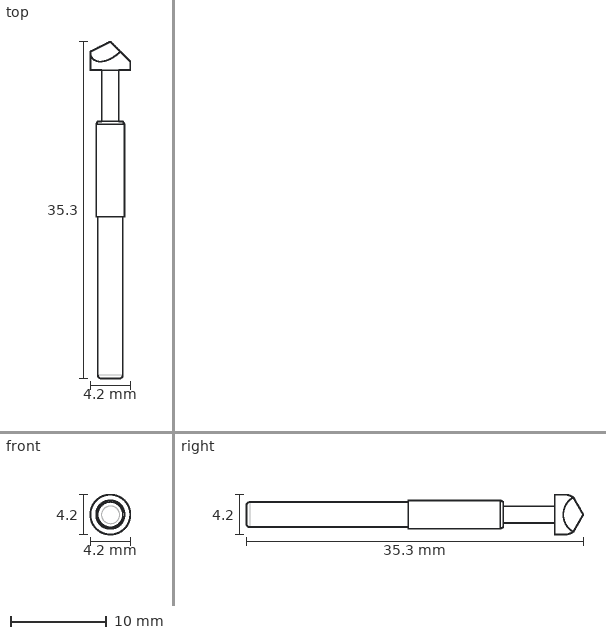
import cadquery as cq
import math


tail_diameter = 2.65
tail_length = 16.95
tail_end_radius = 0.4

barrel_diameter = 3.0
barrel_length = 10.0
barrel_chamfer_length = 0.32
barrel_chamfer_depth = 0.18

stem_diameter = 1.8
stem_length = 5.35
head_diameter = 4.2
head_length = 3.0

tip_face_count = 3
tip_face_angle = 45.0

barrel_end = barrel_length
head_base = barrel_end + stem_length
tip = head_base + head_length


def cylinder_along_y(diameter, start, length):
    """Round bar centred on the Y axis, running from Y = start toward +Y."""
    base = cq.Workplane("XZ", origin=(0, start, 0))
    return base.circle(diameter / 2).extrude(-length)


def make_tail():
    tail = cylinder_along_y(tail_diameter, -tail_length, tail_length)
    return tail.faces("<Y").edges().fillet(tail_end_radius)


def make_barrel():
    radius = barrel_diameter / 2
    half_profile = (
        cq.Workplane("XY")
        .lineTo(radius, 0)
        .lineTo(radius, barrel_end - barrel_chamfer_length)
        .lineTo(radius - barrel_chamfer_depth, barrel_end)
        .lineTo(0, barrel_end)
        .close()
    )
    return half_profile.revolve(360, (0, 0, 0), (0, 1, 0))


def make_head():
    """Disc cut by sloped planes that meet at a point on the axis; the first plane faces +X."""
    head = cylinder_along_y(head_diameter, head_base, head_length)
    reach = head_diameter
    drop = reach / math.tan(math.radians(tip_face_angle))
    for index in range(tip_face_count):
        waste = (
            cq.Workplane("XY")
            .moveTo(0, tip)
            .lineTo(reach, tip - drop)
            .lineTo(reach, tip)
            .close()
            .extrude(2 * head_diameter, both=True)
        )
        head = head.cut(waste.rotate((0, 0, 0), (0, 1, 0), index * 360 / tip_face_count))
    return head


stem = cylinder_along_y(stem_diameter, barrel_end, stem_length)
result = make_tail().union(make_barrel()).union(stem).union(make_head())